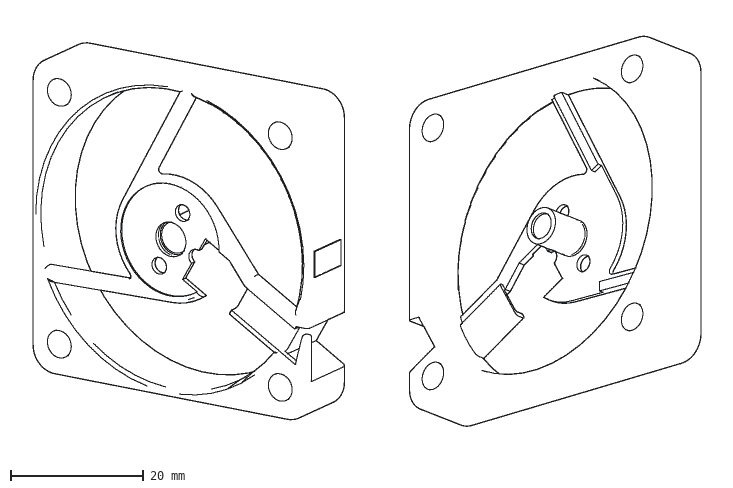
import cadquery as cq
import math

frame_side = 50.0
frame_depth = 10.5
frame_corner_radius = 3.95
edge_fillet = 0.55
bore_radius = 23.7
mount_hole_offset = 20.0
mount_hole_radius = 2.15
pad_height = 0.2
pad_width = 4.1
pad_margin = 1.6

hub_radius = 10.05
hub_recess_radius = 8.9
hub_recess_depth = 0.3
spider_depth = 1.2
rib_depth = 2.0
rib_width = 1.5
rib_start = 6.3
spoke_width = 2.5
spoke_angles = (61.2, 181.2)
spoke_corner_radius = 0.6
tube_radius = 2.85
tube_end = 8.5
tube_bore_radius = 2.45
tube_lip_radius = 2.0
tube_lip_thickness = 0.5
tube_counterbore_radius = 2.7
tube_counterbore_depth = 1.5
pin_hole_radius = 1.3
pin_circle_radius = 5.0
pin_hole_angles = (65, 245, 335)

channel_angle = -30
channel_half_width = 2.4
channel_start = 14.25
channel_end = 24.7
channel_depth = 2.0
channel_floor_depth = 1.5
channel_floor_fillet = 0.45
channel_back_fillet = 0.6
upper_wall_width = 2.5
lower_wall_width = 1.05
brace_angle = 38.3
hub_notch_start = 4.8
hub_notch_half_width = 4.1
hub_notch_corner_u = 10.05

exit_top = -9.85
exit_tab_top = -11.05
exit_tab_inner_x = 24.0
exit_tab_depth = 1.0
exit_corner_x = 22.7
exit_tab_fillet = 0.4

half_side = frame_side / 2
upper_wall_v = channel_half_width + upper_wall_width
lower_wall_v = -channel_half_width - lower_wall_width


def polar(radius, angle):
    """Point (x, z) at a radius and an angle in degrees."""
    return (radius * math.cos(math.radians(angle)), radius * math.sin(math.radians(angle)))


def along(angle, u, v):
    """Point (x, z) at u along a direction and v to the left of it."""
    ux, uz = polar(1, angle)
    return (u * ux - v * uz, u * uz + v * ux)


def channel_point(u, v):
    return along(channel_angle, u, v)


def angle_of(point):
    return math.degrees(math.atan2(point[1], point[0]))


def on_circle(radius, v):
    """Distance u at which a line offset by v crosses a circle."""
    return math.sqrt(radius**2 - v**2)


def channel_line(x, v):
    """Point at a given x on the line offset by v from the channel axis."""
    return (x, v / math.cos(math.radians(channel_angle)) + x * math.tan(math.radians(channel_angle)))


def sketch(y=0):
    """Workplane at depth y, on which negative extrusions run towards the back."""
    return cq.Workplane("XZ", origin=(0, y, 0))


def disc(radius, y_start, y_end, centers=((0, 0),)):
    return sketch(y_start).pushPoints(centers).circle(radius).extrude(y_start - y_end)


def prism(points, y_start, y_end):
    return sketch(y_start).polyline(points).close().extrude(y_start - y_end)


def arc(outline, radius, start_angle, end_angle):
    """Continue an outline along a circle about the hub axis."""
    middle = polar(radius, (start_angle + end_angle) / 2)
    return outline.threePointArc(middle, polar(radius, end_angle))


def spoke_edge(angle, v):
    """Points where one edge of a spoke leaves the hub and meets the bore."""
    hub_end = along(angle, on_circle(hub_radius, v), v)
    bore_end = along(angle, on_circle(outline_radius, v), v)
    return hub_end, bore_end


def opening(outline, rounded_point=None):
    """Turn an outline into a cutter, rounding its corner at one point."""
    cutter = outline.close().extrude(-spider_depth)
    if rounded_point:
        x, z = rounded_point
        corner = cq.selectors.NearestToPointSelector((x, spider_depth / 2, z))
        cutter = cutter.edges("|Y").edges(corner).fillet(spoke_corner_radius)
    return cutter


spider_radius = bore_radius + 0.5
outline_radius = bore_radius + 1

channel_slope = math.tan(math.radians(channel_angle))
exit_corner = channel_line(exit_corner_x, -channel_half_width)
exit_mouth_x = channel_end / math.cos(math.radians(channel_angle)) - exit_top * channel_slope
exit_mouth_top = (exit_mouth_x, exit_top)

inner_edge_v = hub_radius - spoke_width
first_spoke, second_spoke = spoke_angles
first_tangent, first_bore = spoke_edge(first_spoke, hub_radius)
first_root, first_inner_bore = spoke_edge(first_spoke, inner_edge_v)
second_tangent, second_bore = spoke_edge(second_spoke, hub_radius)
second_root, second_inner_bore = spoke_edge(second_spoke, inner_edge_v)


def left_opening():
    outline = sketch().moveTo(*first_tangent).lineTo(*first_bore)
    outline = arc(outline, outline_radius, angle_of(first_bore), angle_of(second_inner_bore) % 360)
    outline = outline.lineTo(*second_root)
    outline = arc(outline, hub_radius, angle_of(second_root) % 360, first_spoke + 90)
    return opening(outline, second_root)


def right_opening():
    wall_bore = channel_point(on_circle(outline_radius, upper_wall_v), upper_wall_v)
    brace_tangent = polar(hub_radius, brace_angle)
    bend = math.radians(brace_angle - 90 - channel_angle)
    tangent_u = hub_radius * math.cos(math.radians(brace_angle - channel_angle))
    tangent_v = hub_radius * math.sin(math.radians(brace_angle - channel_angle))
    brace_knee = channel_point(tangent_u + (upper_wall_v - tangent_v) / math.tan(bend), upper_wall_v)
    outline = sketch().moveTo(*first_root).lineTo(*first_inner_bore)
    outline = arc(outline, outline_radius, angle_of(first_inner_bore), angle_of(wall_bore))
    outline = outline.lineTo(*brace_knee).lineTo(*brace_tangent)
    outline = arc(outline, hub_radius, brace_angle, angle_of(first_root))
    return opening(outline, first_root)


def lower_opening():
    wall_hub = channel_point(on_circle(hub_radius, lower_wall_v), lower_wall_v)
    wall_bore = channel_point(on_circle(outline_radius, lower_wall_v), lower_wall_v)
    outline = sketch().moveTo(*second_tangent).lineTo(*second_bore)
    outline = arc(outline, outline_radius, angle_of(second_bore) % 360, angle_of(wall_bore) % 360)
    outline = outline.lineTo(*wall_hub)
    outline = arc(outline, hub_radius, angle_of(wall_hub), second_spoke + 90 - 360)
    return opening(outline)


def spider():
    """Hub, spokes and channel wall, reaching just into the frame."""
    blank = disc(spider_radius, 0, spider_depth)
    for cutter in (left_opening(), right_opening(), lower_opening()):
        blank = blank.cut(cutter)
    return blank


def frame():
    """Housing and spider, with all front edges and the back rims of the housing rounded."""
    block = sketch().rect(frame_side, frame_side).extrude(-frame_depth)
    block = block.edges("|Y").fillet(frame_corner_radius)
    block = block.cut(disc(bore_radius, 0, frame_depth))
    block = block.faces(">Y").edges().fillet(edge_fillet).union(spider())
    return block.faces("<Y").edges().fillet(edge_fillet)


def mount_holes():
    offsets = (-mount_hole_offset, mount_hole_offset)
    centers = [(x, z) for x in offsets for z in offsets]
    return disc(mount_hole_radius, 0, frame_depth, centers)


def side_pad():
    pad_depth = frame_depth - 2 * pad_margin
    pad = cq.Workplane("XY").box(2 * pad_height, pad_depth, pad_width)
    return pad.translate((half_side, frame_depth / 2, 0))


def hub_notch():
    """Opening from the hub to the channel, with its upper side sloping along the brace."""
    points = [
        channel_point(hub_notch_start, -hub_notch_half_width),
        channel_point(channel_start, -hub_notch_half_width),
        channel_point(channel_start, channel_half_width),
        channel_point(hub_notch_corner_u, hub_notch_half_width),
        channel_point(hub_notch_start, hub_notch_half_width),
    ]
    return prism(points, 0, spider_depth)


def channel_block(y_start, y_end, half_width, back_fillet):
    """Block lying along the channel with its two long back edges rounded."""
    block = cq.Workplane("XY").box(channel_end - channel_start, y_end - y_start, 2 * half_width)
    block = block.edges("|X and >Y").fillet(back_fillet)
    x, z = channel_point((channel_start + channel_end) / 2, 0)
    turned = block.rotate((0, 0, 0), (0, 1, 0), -channel_angle)
    return turned.translate((x, (y_start + y_end) / 2, z))


def spoke_rib(angle):
    """Rib on the back of a spoke, flush with its outer edge."""
    rib_end = on_circle(spider_radius, hub_radius)
    corners = [
        along(angle, rib_start, hub_radius),
        along(angle, rib_end, hub_radius),
        along(angle, rib_end, hub_radius - rib_width),
        along(angle, rib_start, hub_radius - rib_width),
    ]
    return prism(corners, spider_depth, rib_depth)


def cable_exit():
    """Mouth beyond the channel floor, open to the right side and, behind a front tab, to the back."""
    beyond = frame_side
    far_along_channel = 2 * channel_end
    mouth = [
        channel_point(channel_end, -channel_half_width),
        exit_corner,
        (exit_tab_inner_x, exit_tab_top),
        (beyond, exit_tab_top),
        (beyond, exit_top),
        exit_mouth_top,
    ]
    window = [
        channel_point(channel_end, lower_wall_v),
        channel_point(far_along_channel, lower_wall_v),
        (beyond, exit_top),
        exit_mouth_top,
    ]
    front_mouth = prism(mouth, 0, exit_tab_depth)
    return front_mouth.union(prism(window, exit_tab_depth, frame_depth))


def tube_bore():
    bore = disc(tube_counterbore_radius, 0, tube_counterbore_depth)
    bore = bore.union(disc(tube_bore_radius, 0, tube_end - tube_lip_thickness))
    return bore.union(disc(tube_lip_radius, 0, tube_end))


pin_holes = [polar(pin_circle_radius, angle) for angle in pin_hole_angles]

body = frame().union(side_pad())
for spoke_angle in spoke_angles:
    body = body.union(spoke_rib(spoke_angle))
body = body.cut(disc(hub_recess_radius, 0, hub_recess_depth))
body = body.union(disc(tube_radius, hub_recess_depth, tube_end)).cut(tube_bore())
body = body.cut(disc(pin_hole_radius, 0, spider_depth, pin_holes)).cut(hub_notch())
body = body.union(channel_block(spider_depth, channel_depth, -lower_wall_v, channel_back_fillet))
body = body.cut(channel_block(0, channel_floor_depth, channel_half_width, channel_floor_fillet))
body = body.cut(cable_exit()).cut(mount_holes())

tab_edge = cq.selectors.NearestToPointSelector(((exit_tab_inner_x + half_side) / 2, 0, exit_tab_top))
result = body.edges("|X").edges(tab_edge).fillet(exit_tab_fillet)